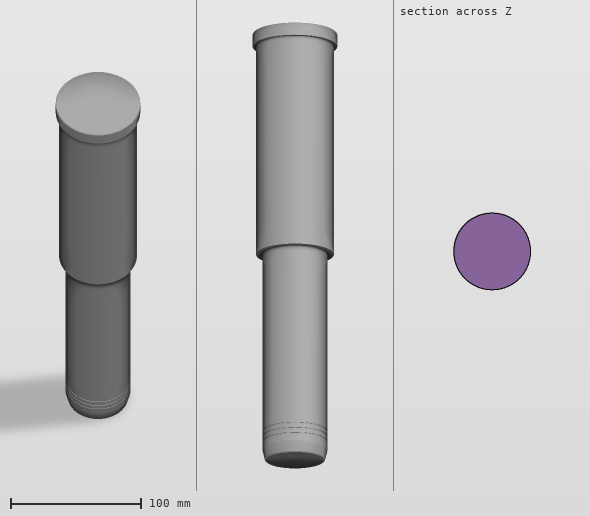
import cadquery as cq

total_length = 340.0
head_diameter = 65.0
head_height = 10.0
head_chamfer = 0.5
body_diameter = 60.0
shank_diameter = 50.0
shank_length = 164.2

nose_height = 9.0
nose_tip_diameter = 46.2
tip_chamfer = 0.7
nose_bulge = 0.27

groove_count = 3
lowest_groove_height = 14.5
groove_pitch = 4.0
groove_width = 1.0
groove_depth = 0.5

relief_width = 1.0
relief_depth = 0.5


def ring_groove(diameter, depth, width, bottom):
    """Ring that cuts a groove of the given depth into a cylinder."""
    outer_radius = diameter / 2
    return (
        cq.Workplane("XY", origin=(0, 0, bottom))
        .circle(outer_radius)
        .circle(outer_radius - depth)
        .extrude(width)
    )


head_bottom = total_length - head_height
shank_radius = shank_diameter / 2
tip_radius = nose_tip_diameter / 2
nose_middle = ((shank_radius + tip_radius) / 2 + nose_bulge, (tip_chamfer + nose_height) / 2)

result = (
    cq.Workplane("XZ")
    .lineTo(tip_radius - tip_chamfer, 0)
    .lineTo(tip_radius, tip_chamfer)
    .threePointArc(nose_middle, (shank_radius, nose_height))
    .lineTo(shank_radius, shank_length)
    .lineTo(body_diameter / 2, shank_length)
    .lineTo(body_diameter / 2, head_bottom)
    .lineTo(head_diameter / 2, head_bottom)
    .lineTo(head_diameter / 2, total_length - head_chamfer)
    .lineTo(head_diameter / 2 - head_chamfer, total_length)
    .lineTo(0, total_length)
    .close()
    .revolve(360, (0, 0, 0), (0, 1, 0))
)

for index in range(groove_count):
    groove_middle = lowest_groove_height + index * groove_pitch
    groove_bottom = groove_middle - groove_width / 2
    result = result.cut(ring_groove(shank_diameter, groove_depth, groove_width, groove_bottom))

for diameter, shoulder in ((shank_diameter, shank_length), (body_diameter, head_bottom)):
    result = result.cut(ring_groove(diameter, relief_depth, relief_width, shoulder - relief_width))